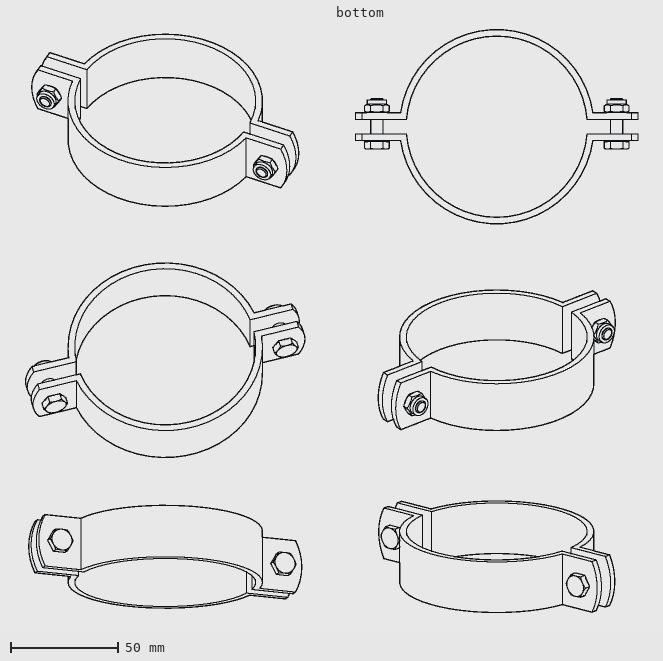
import cadquery as cq
import math

OUTER_RADIUS = 45.4
STRAP_THICKNESS = 3.2
STRAP_WIDTH = 25.0
OVERALL_LENGTH = 132.0
GAP = 6.7
TAB_END_RISE = 3.2

BOLT_OFFSET = 56.0
SHANK_DIAMETER = 6.0
TIP_PROTRUSION = 0.8
TIP_CHAMFER = 0.5
HEX_ACROSS_FLATS = 10.0
HEAD_HEIGHT = 4.0
HEX_CHAMFER_ANGLE = 30.0
WASHER_FACE_DIAMETER = 8.7
WASHER_FACE_HEIGHT = 0.4

NUT_HEX_HEIGHT = 4.0
NUT_HEIGHT = 6.0
COLLAR_DIAMETER = 9.1

inner_radius = OUTER_RADIUS - STRAP_THICKNESS
half_length = OVERALL_LENGTH / 2
half_width = STRAP_WIDTH / 2
tab_inner_y = GAP / 2
tab_outer_y = tab_inner_y + STRAP_THICKNESS
hex_across_corners = HEX_ACROSS_FLATS / math.cos(math.radians(30))
chamfer_slope = math.tan(math.radians(HEX_CHAMFER_ANGLE))


def y_cylinder(diameter, start, length):
    """Cylinder along +Y, centred on the Y axis."""
    return cq.Workplane("XZ", origin=(0, start, 0)).circle(diameter / 2).extrude(-length)


def hexagon(start, length, start_diameter, end_diameter):
    """Hexagonal prism along +Y with corners on X, turned down to a conical chamfer at each end.

    Each end diameter is the small diameter of the cone; the corner diameter leaves that end sharp.
    """
    prism = cq.Workplane("XZ", origin=(0, start, 0)).polygon(6, hex_across_corners).extrude(-length)
    end = start + length
    corner_radius = hex_across_corners / 2
    start_radius = start_diameter / 2
    end_radius = end_diameter / 2
    profile = cq.Workplane("XY").moveTo(0, start)
    if start_radius < corner_radius:
        profile = profile.lineTo(start_radius, start)
    turned_blank = (
        profile
        .lineTo(corner_radius, start + (corner_radius - start_radius) * chamfer_slope)
        .lineTo(corner_radius, end - (corner_radius - end_radius) * chamfer_slope)
        .lineTo(end_radius, end)
        .lineTo(0, end)
        .close()
        .revolve(360, (0, 0, 0), (0, 1, 0))
    )
    return prism.intersect(turned_blank)


def make_clamp_half():
    """Half ring on the +Y side with a drilled, round-ended tab at each end."""
    inner_x = math.sqrt(inner_radius**2 - tab_inner_y**2)
    outer_x = math.sqrt(OUTER_RADIUS**2 - tab_outer_y**2)
    strap = (
        cq.Workplane("XY", origin=(0, 0, -half_width))
        .moveTo(-half_length, tab_inner_y)
        .lineTo(-inner_x, tab_inner_y)
        .threePointArc((0, inner_radius), (inner_x, tab_inner_y))
        .lineTo(half_length, tab_inner_y)
        .lineTo(half_length, tab_outer_y)
        .lineTo(outer_x, tab_outer_y)
        .threePointArc((0, OUTER_RADIUS), (-outer_x, tab_outer_y))
        .lineTo(-half_length, tab_outer_y)
        .close()
        .extrude(STRAP_WIDTH)
    )
    corner_x = half_length - TAB_END_RISE
    rounded_outline = (
        cq.Workplane("XZ")
        .moveTo(-corner_x, -half_width)
        .lineTo(corner_x, -half_width)
        .threePointArc((half_length, 0), (corner_x, half_width))
        .lineTo(-corner_x, half_width)
        .threePointArc((-half_length, 0), (-corner_x, -half_width))
        .close()
        .extrude(-OUTER_RADIUS)
    )
    half = strap.intersect(rounded_outline)
    for side in (-1, 1):
        half = half.cut(y_cylinder(SHANK_DIAMETER, 0, OUTER_RADIUS).translate((side * BOLT_OFFSET, 0, 0)))
    return half


def make_bolt():
    """Hexagon bolt with its head on the +Y tab and a chamfered tip beyond the nut."""
    tip_end = -tab_outer_y - NUT_HEIGHT - TIP_PROTRUSION
    shank = y_cylinder(SHANK_DIAMETER, tip_end, tab_outer_y - tip_end).faces("<Y").chamfer(TIP_CHAMFER)
    washer_face = y_cylinder(WASHER_FACE_DIAMETER, tab_outer_y, WASHER_FACE_HEIGHT)
    head = hexagon(
        tab_outer_y + WASHER_FACE_HEIGHT,
        HEAD_HEIGHT - WASHER_FACE_HEIGHT,
        hex_across_corners,
        HEX_ACROSS_FLATS,
    )
    return head.union(washer_face).union(shank)


def make_nut():
    """Locking nut: chamfered hexagon against the -Y tab with a round collar behind it."""
    hex_start = -tab_outer_y - NUT_HEX_HEIGHT
    body = hexagon(hex_start, NUT_HEX_HEIGHT, COLLAR_DIAMETER, COLLAR_DIAMETER)
    collar = y_cylinder(COLLAR_DIAMETER, -tab_outer_y - NUT_HEIGHT, NUT_HEIGHT)
    bore = y_cylinder(SHANK_DIAMETER, -tab_outer_y - NUT_HEIGHT, NUT_HEIGHT)
    return body.union(collar).cut(bore)


rear_half = make_clamp_half()
front_half = rear_half.mirror("XZ")

bolts = []
nuts = []
for side in (-1, 1):
    place = (side * BOLT_OFFSET, 0, 0)
    bolts.append(make_bolt().translate(place).val())
    nuts.append(make_nut().translate(place).val())

result = cq.Compound.makeCompound([rear_half.val(), front_half.val(), *bolts, *nuts])